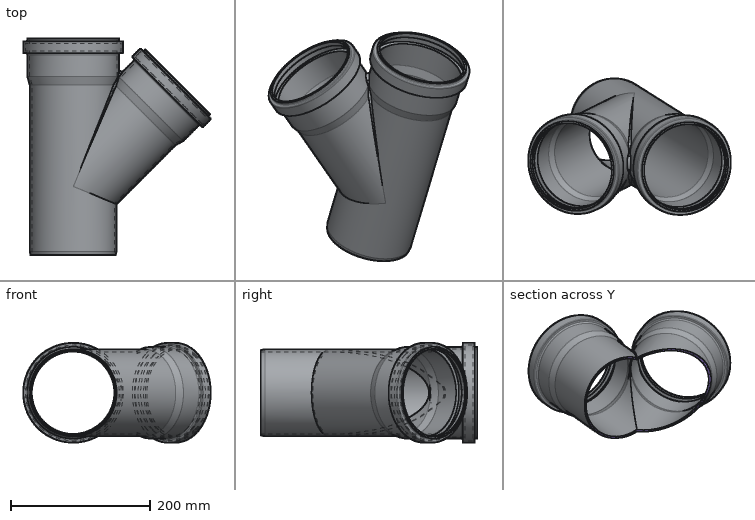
import cadquery as cq
import math


branch_angle = 45.0
total_length = 311.5
socket_reach = 212.5
spigot_reach = total_length - socket_reach

pipe_radius = 125.2 / 2
bore_radius = 118.4 / 2
spigot_chamfer_length = 5.6
spigot_chamfer_depth = 1.2

socket_radius = 132.1 / 2
socket_wall = 3.1
bead_radius = 143.9 / 2
bead_corner_radius = 1.0
lip_fillet_radius = 1.0
bead_foot_radius = 2.0

bead_front_depth = 3.8
bead_back_depth = 21.2
socket_depth = 54.7
taper_end_depth = 66.9

web_thickness = 5.0
web_curve_reach = 168.2
web_half_height = pipe_radius - 0.1
web_curve_end = 148.7
web_straight_end = 176.0
web_tip = 179.2

bead_front = socket_reach - bead_front_depth
bead_back = socket_reach - bead_back_depth
socket_start = socket_reach - socket_depth
taper_start = socket_reach - taper_end_depth


def revolve_on_y(profile):
    """Close a radius/length profile and revolve it about the Y axis."""
    return profile.close().revolve(360, (0, 0, 0), (0, 1, 0))


def rounded_step(profile, corner, radius, arrive, leave):
    """Draw to a corner and round it; arrive and leave are unit directions of travel."""
    x, y = corner
    start = (x - radius * arrive[0], y - radius * arrive[1])
    end = (x + radius * leave[0], y + radius * leave[1])
    sagitta = 1 - math.sqrt(0.5)
    middle = (
        x + radius * sagitta * (leave[0] - arrive[0]),
        y + radius * sagitta * (leave[1] - arrive[1]),
    )
    return profile.lineTo(*start).threePointArc(middle, end)


def socket_pipe_outside(start):
    """Solid envelope of a pipe from station start up to its socket mouth."""
    outward, inward, forward = (1, 0), (-1, 0), (0, 1)
    profile = cq.Workplane("XY").moveTo(0, start).lineTo(pipe_radius, start)
    profile = profile.lineTo(pipe_radius, taper_start).lineTo(socket_radius, socket_start)
    profile = rounded_step(profile, (socket_radius, bead_back), bead_foot_radius, forward, outward)
    profile = rounded_step(profile, (bead_radius, bead_back), bead_corner_radius, outward, forward)
    profile = rounded_step(profile, (bead_radius, bead_front), bead_corner_radius, forward, inward)
    profile = rounded_step(profile, (socket_radius, bead_front), lip_fillet_radius, inward, forward)
    profile = profile.lineTo(socket_radius, socket_reach).lineTo(0, socket_reach)
    return revolve_on_y(profile)


def socket_pipe_inside(start):
    """Bore of a pipe from station start, with the socket bore and the seal groove."""
    groove_back = bead_back + socket_wall
    groove_front = bead_front - socket_wall
    socket_bore_radius = socket_radius - socket_wall
    groove_radius = bead_radius - socket_wall
    profile = (
        cq.Workplane("XY")
        .moveTo(0, start)
        .lineTo(bore_radius, start)
        .lineTo(bore_radius, taper_start)
        .lineTo(socket_bore_radius, socket_start)
        .lineTo(socket_bore_radius, groove_back)
        .lineTo(groove_radius, groove_back)
        .lineTo(groove_radius, groove_front)
        .lineTo(socket_bore_radius, groove_front)
        .lineTo(socket_bore_radius, socket_reach)
        .lineTo(0, socket_reach)
    )
    return revolve_on_y(profile)


def spigot_chamfer_ring():
    """Ring of material removed to bevel the spigot end."""
    end = -spigot_reach
    profile = (
        cq.Workplane("XY")
        .moveTo(pipe_radius - spigot_chamfer_depth, end)
        .lineTo(pipe_radius, end + spigot_chamfer_length)
        .lineTo(pipe_radius, end)
    )
    return revolve_on_y(profile)


def swing(body, angle):
    """Swing a body lying along +Y towards +X about the Z axis."""
    return body.rotate((0, 0, 0), (0, 0, 1), -angle)


def crotch_web():
    """Plate on the plane that bisects run and branch: elliptical edge, straight flank, rounded nose."""
    edge_angle = math.acos(web_curve_end / web_curve_reach)
    curve_end_height = web_half_height * math.sin(edge_angle)
    flank_slope = web_half_height / (web_curve_reach * math.tan(edge_angle))
    nose_height = curve_end_height - flank_slope * (web_straight_end - web_curve_end)
    flank_angle = math.degrees(edge_angle)
    profile = (
        cq.Workplane("YZ")
        .moveTo(0, -web_half_height)
        .ellipseArc(web_curve_reach, web_half_height, -90, -flank_angle, startAtCurrent=True)
        .lineTo(web_straight_end, -nose_height)
        .threePointArc((web_tip, 0), (web_straight_end, nose_height))
        .lineTo(web_curve_end, curve_end_height)
        .ellipseArc(web_curve_reach, web_half_height, flank_angle, 90, startAtCurrent=True)
        .close()
    )
    return swing(profile.extrude(web_thickness / 2, both=True), branch_angle / 2)


run_outside = socket_pipe_outside(-spigot_reach).cut(spigot_chamfer_ring())
branch_outside = swing(socket_pipe_outside(0), branch_angle)
run_bore = socket_pipe_inside(-spigot_reach)
branch_bore = swing(socket_pipe_inside(0), branch_angle)

run = run_outside.cut(run_bore).cut(branch_bore)
branch = branch_outside.cut(run_bore).cut(branch_bore)
web = crotch_web().cut(run_bore).cut(branch_bore)
result = run.union(branch).union(web)